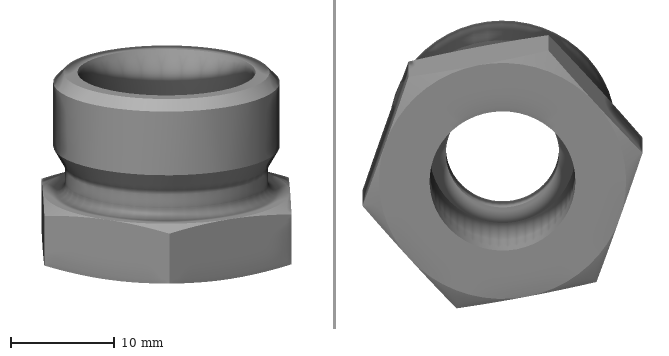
import cadquery as cq
import math

height = 18.0
hex_corner_diameter = 27.7
hex_height = 6.0
hex_chamfer_angle = 15.0

body_radius = 22.0 / 2
body_bottom = 10.6
body_chamfer = 1.0
groove_radius = 19.7 / 2
groove_cone_angle = 30.0
groove_upper_fillet = 0.83
groove_lower_fillet = 1.0

seat_mouth_radius = 8.65
seat_bore_radius = 15.0 / 2
seat_half_angle = 12.0
seat_depth = 7.0
passage_radius = 11.0 / 2
passage_length = 2.0
lower_bore_radius = 14.15 / 2


def tan_deg(angle):
    return math.tan(math.radians(angle))


def revolve_profile(points):
    """Revolve a closed (radius, z) outline about the Z axis."""
    return cq.Workplane("XZ").polyline(points).close().revolve(360, (0, 0), (0, 1))


def make_hex():
    """Hexagon with corners on Y, its corners chamfered at both ends by cones."""
    corner_radius = hex_corner_diameter / 2
    flat_radius = corner_radius * math.cos(math.radians(30))
    chamfer_drop = (corner_radius - flat_radius) * tan_deg(hex_chamfer_angle)
    prism = (
        cq.Workplane("XY")
        .polygon(6, hex_corner_diameter)
        .extrude(hex_height)
        .rotate((0, 0, 0), (0, 0, 1), 90)
    )
    envelope = revolve_profile([
        (0, 0),
        (flat_radius, 0),
        (corner_radius, chamfer_drop),
        (corner_radius, hex_height - chamfer_drop),
        (flat_radius, hex_height),
        (0, hex_height),
    ])
    return prism.intersect(envelope)


def make_body():
    """Threaded end with a top chamfer, tapering down into the relief groove."""
    cone_angle = math.radians(groove_cone_angle)
    groove_top = body_bottom - (body_radius - groove_radius) / math.tan(cone_angle)
    tangent_length = groove_upper_fillet * math.tan(cone_angle / 2)
    fillet_center_radius = groove_radius + groove_upper_fillet
    fillet_start = groove_top - tangent_length

    def upper_fillet_point(angle):
        return (
            fillet_center_radius - groove_upper_fillet * math.cos(angle),
            fillet_start + groove_upper_fillet * math.sin(angle),
        )

    foot_radius = groove_radius + groove_lower_fillet
    foot_top = hex_height + groove_lower_fillet
    foot_midpoint = (
        foot_radius - groove_lower_fillet * math.cos(math.radians(45)),
        foot_top - groove_lower_fillet * math.sin(math.radians(45)),
    )
    return (
        cq.Workplane("XZ")
        .moveTo(0, hex_height)
        .lineTo(foot_radius, hex_height)
        .threePointArc(foot_midpoint, (groove_radius, foot_top))
        .lineTo(groove_radius, fillet_start)
        .threePointArc(upper_fillet_point(cone_angle / 2), upper_fillet_point(cone_angle))
        .lineTo(body_radius, body_bottom)
        .lineTo(body_radius, height - body_chamfer)
        .lineTo(body_radius - body_chamfer, height)
        .lineTo(0, height)
        .close()
        .revolve(360, (0, 0), (0, 1))
    )


def make_bores():
    """Conical seat, its straight bore, the narrow passage and the lower bore."""
    cone_depth = (seat_mouth_radius - seat_bore_radius) / tan_deg(seat_half_angle)
    seat_floor = height - seat_depth
    lower_bore_top = seat_floor - passage_length
    return revolve_profile([
        (0, 0),
        (lower_bore_radius, 0),
        (lower_bore_radius, lower_bore_top),
        (passage_radius, lower_bore_top),
        (passage_radius, seat_floor),
        (seat_bore_radius, seat_floor),
        (seat_bore_radius, height - cone_depth),
        (seat_mouth_radius, height),
        (0, height),
    ])


result = make_hex().union(make_body()).cut(make_bores())